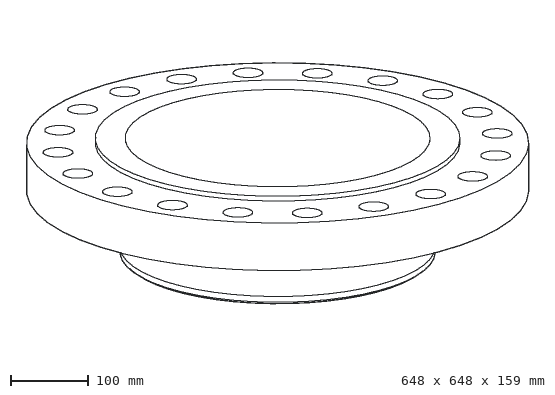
import cadquery as cq

flange_diameter = 648.0
total_height = 159.0

face_diameter = 470.0
face_height = 6.5
plate_thickness = 65.0

hub_base_diameter = 480.5
hub_fillet_radius = 10.5
weld_end_diameter = 407.0
weld_end_height = 11.5
weld_bevel_height = 4.0
weld_bevel_width = 5.0
bore_diameter = 393.0

bolt_count = 20
bolt_circle_diameter = 571.0
bolt_hole_diameter = 38.0

plate_top = total_height - face_height
plate_bottom = plate_top - plate_thickness


def make_body():
    """Revolve the bored half section about the Z axis."""
    bore_radius = bore_diameter / 2
    flange_radius = flange_diameter / 2
    face_radius = face_diameter / 2
    hub_radius = hub_base_diameter / 2
    weld_radius = weld_end_diameter / 2
    section = [
        (bore_radius, 0),
        (weld_radius - weld_bevel_width, 0),
        (weld_radius, weld_bevel_height),
        (weld_radius, weld_end_height),
        (hub_radius, plate_bottom),
        (flange_radius, plate_bottom),
        (flange_radius, plate_top),
        (face_radius, plate_top),
        (face_radius, total_height),
        (bore_radius, total_height),
    ]
    body = cq.Workplane("XZ").polyline(section).close().revolve(360, (0, 0), (0, 1))
    hub_corner = body.edges(cq.selectors.RadiusNthSelector(-2))
    return hub_corner.fillet(hub_fillet_radius)


def make_bolt_holes():
    """Cylinders for the through holes, the first one on the +X axis."""
    return (
        cq.Workplane("XY")
        .polarArray(bolt_circle_diameter / 2, 0, 360, bolt_count)
        .circle(bolt_hole_diameter / 2)
        .extrude(total_height)
    )


result = make_body().cut(make_bolt_holes())